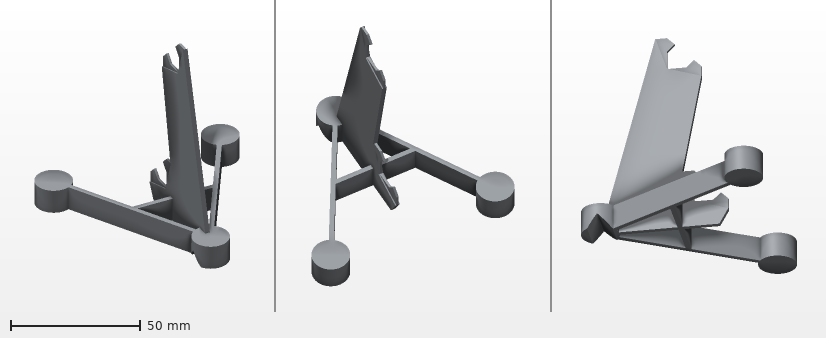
import cadquery as cq

base_height = 10.1
foot_diameter = 15.0
foot_span_x = 62.93
foot_span_y = 72.15
wall = 2.0
front_foot = (foot_span_x / 2, 0.0)
rear_feet = [(-foot_span_x / 2, side * foot_span_y / 2) for side in (-1, 1)]

notch_depth = 5.7
notch_apex_x = 31.4
notch_inner_run = 5.5
notch_outer_run = 4.2

total_height = 83.6
holder_reach = 13.55
holder_drop = 4.5
tooth = 3.0
lip_thickness = 1.0
upper_corner = (5.2, total_height - holder_reach)
lower_corner = (-5.4, 11.0)
plate_foot_x = 28.8
plate_toe_x = -15.4


def foot(center):
    """Round foot as tall as the base."""
    return cq.Workplane("XY").center(*center).circle(foot_diameter / 2).extrude(base_height)


def wall_between(start, end):
    """Vertical base wall running between two points in plan."""
    a = cq.Vector(*start)
    b = cq.Vector(*end)
    path = b - a
    side = cq.Vector(-path.y, path.x).normalized() * (wall / 2)
    corners = [(p.x, p.y) for p in (a + side, b + side, b - side, a - side)]
    return cq.Workplane("XY").polyline(corners).close().extrude(base_height)


def upright(points, thickness):
    """Profile in X and Z, extruded symmetrically about the XZ plane."""
    return cq.Workplane("XZ").polyline(points).close().extrude(thickness / 2, both=True)


def holder_back(corner):
    """Edge of the plate behind a holder: top end, inner corner, outer end."""
    x, z = corner
    return [
        (x + holder_drop, z + holder_reach),
        corner,
        (x - holder_reach, z - holder_drop),
    ]


def holder_lip(corner):
    """Thin L-shaped lip whose two legs each end in a pointed tooth."""
    x, z = corner
    top, inner, outer = holder_back(corner)
    tooth_start = holder_reach - 2 * tooth
    tooth_tip = holder_reach - tooth
    root = (x + holder_drop, z - holder_drop)
    points = [
        top,
        (x, z + holder_reach),
        (x - tooth, z + tooth_tip),
        (x, z + tooth_start),
        inner,
        (x - tooth_start, z),
        (x - tooth_tip, z + tooth),
        (x - holder_reach, z),
        outer,
        root,
    ]
    return upright(points, lip_thickness)


def plate():
    """Upright plate from the top of the upper holder down to the underside of the base."""
    points = holder_back(upper_corner) + holder_back(lower_corner)
    points += [(plate_toe_x, 0), (plate_foot_x, 0), (plate_foot_x, base_height)]
    return upright(points, wall)


def front_notch():
    """V-shaped cutter running along Y under the front foot."""
    points = [
        (notch_apex_x - notch_inner_run, 0),
        (notch_apex_x, notch_depth),
        (notch_apex_x + notch_outer_run, 0),
    ]
    return upright(points, 2 * foot_diameter)


result = foot(front_foot)
for rear_foot in rear_feet:
    result = result.union(foot(rear_foot))
    result = result.union(wall_between(rear_foot, front_foot))
result = result.union(wall_between((0, -foot_span_y / 4), (0, foot_span_y / 4)))
result = result.union(plate())
result = result.cut(front_notch())
for corner in (upper_corner, lower_corner):
    result = result.union(holder_lip(corner))